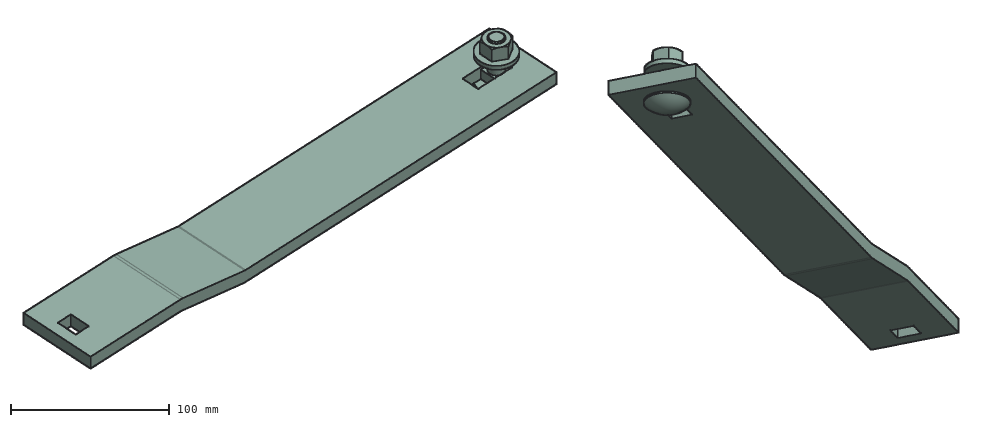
import cadquery as cq
import math

strap_length = 411.7
strap_width = 60.0
strap_thickness = 10.0
offset_rise = strap_thickness
bend_angle = math.radians(10)
bend_inner_radius = 4.0
rear_flat_length = 274.5

front_hole_width = 16.0
front_hole_length = 11.5
front_hole_inset = 14.5
slot_width = 14.0
slot_end_inset = 46.5

bolt_inset = 23.5
bolt_diameter = 11.5
bolt_chamfer = 1.0
head_diameter = 29.5
head_height = 7.0
head_rim_height = 1.2
neck_width = slot_width
neck_height = 8.0

washer_diameter = 29.0
washer_thickness = 3.3
nut_across_flats = 18.5
nut_height = 10.5
nut_chamfer_angle = math.radians(30)
bolt_overhang = 1.2

bolt_y = strap_length - bolt_inset
clamp_gap = strap_thickness
washer_z = strap_thickness + clamp_gap
nut_z = washer_z + washer_thickness
bolt_top_z = nut_z + nut_height + bolt_overhang


def at_bolt(z):
    """Horizontal workplane centred on the bolt axis at height z."""
    return cq.Workplane("XY", origin=(0, bolt_y, z))


def make_strap():
    bend_mid_radius = bend_inner_radius + strap_thickness / 2
    bend_run = bend_mid_radius * math.sin(bend_angle)
    bend_rise = bend_mid_radius * (1 - math.cos(bend_angle))
    ramp_rise = offset_rise - 2 * bend_rise
    ramp_run = ramp_rise / math.tan(bend_angle)

    first_bend_y = strap_length - rear_flat_length
    ramp_start_y = first_bend_y - bend_run
    ramp_end_y = ramp_start_y - ramp_run
    second_bend_end_y = ramp_end_y - bend_run
    mid_z = strap_thickness / 2

    centre_line = (
        cq.Workplane("YZ")
        .moveTo(strap_length, mid_z)
        .lineTo(first_bend_y, mid_z)
        .tangentArcPoint((ramp_start_y, mid_z + bend_rise), relative=False)
        .lineTo(ramp_end_y, mid_z + bend_rise + ramp_rise)
        .tangentArcPoint((second_bend_end_y, mid_z + offset_rise), relative=False)
        .lineTo(0, mid_z + offset_rise)
    )
    bar = (
        cq.Workplane("XZ", origin=(0, strap_length, mid_z))
        .rect(strap_width, strap_thickness)
        .sweep(centre_line)
    )

    cut_height = strap_thickness + offset_rise
    front_hole = (
        cq.Workplane("XY", origin=(0, front_hole_inset, 0))
        .rect(front_hole_width, front_hole_length)
        .extrude(cut_height)
    )
    slot_rear_y = bolt_y + neck_width / 2
    slot_front_y = strap_length - slot_end_inset
    slot = (
        cq.Workplane("XY", origin=(0, (slot_rear_y + slot_front_y) / 2, 0))
        .rect(slot_width, slot_rear_y - slot_front_y)
        .extrude(cut_height)
    )
    return bar.cut(front_hole).cut(slot)


def make_bolt():
    head_radius = head_diameter / 2
    cap_height = head_height - head_rim_height
    cap_radius = (head_radius**2 + cap_height**2) / (2 * cap_height)
    cap_sphere = at_bolt(cap_radius - head_height).sphere(cap_radius)
    head_blank = at_bolt(-head_height).circle(head_radius).extrude(head_height)
    head = head_blank.intersect(cap_sphere)

    neck = at_bolt(0).rect(neck_width, neck_width).extrude(neck_height)
    shank = at_bolt(0).circle(bolt_diameter / 2).extrude(bolt_top_z).faces(">Z").chamfer(bolt_chamfer)
    return head.union(neck).union(shank)


def make_washer():
    return (
        at_bolt(washer_z)
        .circle(washer_diameter / 2)
        .circle(bolt_diameter / 2)
        .extrude(washer_thickness)
    )


def make_nut():
    across_corners = nut_across_flats / math.cos(math.pi / 6)
    blank = (
        at_bolt(nut_z)
        .polygon(6, across_corners)
        .circle(bolt_diameter / 2)
        .extrude(nut_height)
    )
    top_radius = nut_across_flats / 2
    corner_radius = across_corners / 2
    corner_drop = (corner_radius - top_radius) * math.tan(nut_chamfer_angle)
    turned_envelope = (
        cq.Workplane("XZ", origin=(0, bolt_y, nut_z))
        .moveTo(0, 0)
        .lineTo(corner_radius, 0)
        .lineTo(corner_radius, nut_height - corner_drop)
        .lineTo(top_radius, nut_height)
        .lineTo(0, nut_height)
        .close()
        .revolve(360, (0, 0), (0, 1))
    )
    return blank.intersect(turned_envelope)


strap = make_strap()
bolt = make_bolt()
washer = make_washer()
nut = make_nut()

result = cq.Compound.makeCompound([strap.val(), bolt.val(), washer.val(), nut.val()])